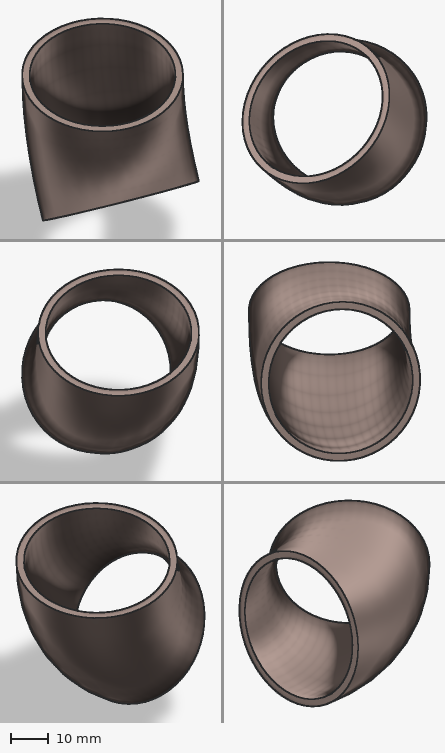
import cadquery as cq
import math

overall_length = 50.1
outer_diameter = 42.4
wall_thickness = 2.0
bend_angle = 45.0

outer_radius = outer_diameter / 2
inner_radius = outer_radius - wall_thickness
bend_cosine = math.cos(math.radians(bend_angle))
bend_radius = (overall_length - outer_radius * (1 + bend_cosine)) / (1 - bend_cosine)

axis_start = (bend_radius, 0)
axis_end = (bend_radius, -1)
result = (
    cq.Workplane("XY")
    .circle(outer_radius)
    .circle(inner_radius)
    .revolve(bend_angle, axis_start, axis_end)
)